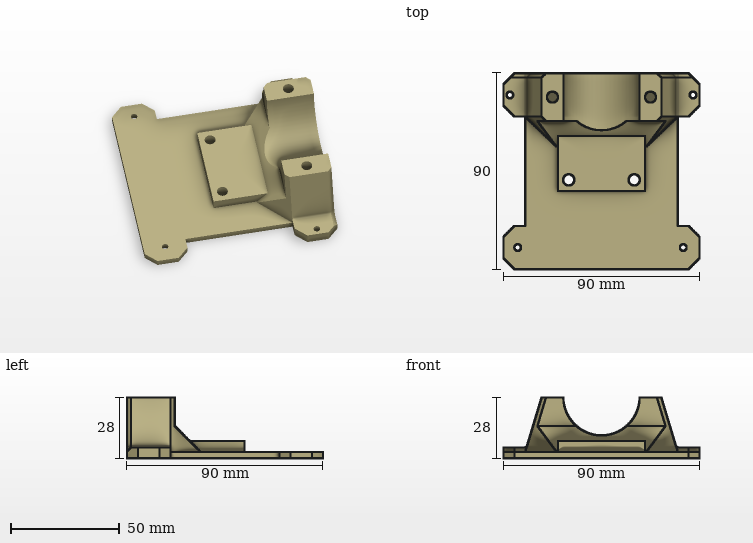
import cadquery as cq
import math

length = 90.0
plate_width = 70.0
plate_thickness = 3.0

ear_span = 90.0
ear_depth = 20.0
ear_corner = 5.0
back_ear_thickness = 5.0
ear_hole_diameter = 3.0
front_left_hole_x = -38.4
front_right_hole_x = 37.5
back_ear_hole_x = 42.0
ear_hole_inset = 10.0

saddle_height = 28.0
saddle_top_width = 55.0
saddle_depth = 22.0
cradle_radius = 17.5
edge_chamfer = 2.0
gusset_run = 11.8
gusset_overrun = 0.9
saddle_hole_x = 22.5
saddle_hole_depth = 15.0

foot_fillet = 1.0

pad_width = 40.0
pad_front = 36.0
pad_top = 8.0
pad_hole_x = 15.0
pad_hole_inset = 5.0
bolt_hole_diameter = 5.0

saddle_front = length - saddle_depth
saddle_side_front = saddle_front + edge_chamfer
side_lean = math.atan2((plate_width - saddle_top_width) / 2, saddle_height - plate_thickness)


def half_width(z):
    """Half the saddle width at height z, measured to its leaning sides."""
    return saddle_top_width / 2 + (saddle_height - z) * math.tan(side_lean)


def block(width, y_start, y_end, height):
    """Block standing on the bottom plane, centred on X."""
    return cq.Workplane("XY").box(width, y_end - y_start, height, (True, False, False)).translate((0, y_start, 0))


def holes(x_places, y, diameter, z_start, depth):
    """Upright holes at the given X places along one row."""
    return (
        cq.Workplane("XY", origin=(0, 0, z_start))
        .pushPoints([(x, y) for x in x_places])
        .circle(diameter / 2)
        .extrude(depth)
    )


def mirrored(x):
    return (-x, x)


def ear_strip(y_start, thickness):
    """Full-width strip whose clipped ends form a pair of ears."""
    strip = block(ear_span, y_start, y_start + ear_depth, thickness)
    return strip.edges("|Z").chamfer(ear_corner)


def gusset_outline(z):
    """Plan corners of the saddle front at height z, with its corner chamfers run forward past the gusset."""
    half = half_width(z)
    reach = edge_chamfer + gusset_run + gusset_overrun
    front_half = half - reach / math.cos(side_lean)
    return [
        (-half, saddle_side_front),
        (-front_half, saddle_side_front - reach),
        (front_half, saddle_side_front - reach),
        (half, saddle_side_front),
    ]


def make_saddle_front():
    """Front of the saddle: two corner chamfers that continue down the sides of a 45 degree gusset."""
    tapered = (
        cq.Workplane("XY", origin=(0, 0, plate_thickness))
        .polyline(gusset_outline(plate_thickness))
        .close()
        .workplane(offset=saddle_height - plate_thickness)
        .polyline(gusset_outline(saddle_height))
        .close()
        .loft(ruled=True)
    )
    side_profile = (
        cq.Workplane("YZ")
        .polyline([
            (saddle_side_front, plate_thickness),
            (saddle_front - gusset_run, plate_thickness),
            (saddle_front, plate_thickness + gusset_run),
            (saddle_front, saddle_height),
            (saddle_side_front, saddle_height),
        ])
        .close()
        .extrude(ear_span / 2, both=True)
    )
    return tapered.intersect(side_profile)


def make_saddle_back():
    """Back of the saddle with its ears: filleted feet, and one chamfer following the back outline."""
    foot_half = half_width(back_ear_thickness)
    tangent_length = foot_fillet * math.tan((math.pi / 2 - side_lean) / 2)
    body = (
        cq.Workplane("XZ", origin=(0, length, 0))
        .polyline([
            (-ear_span / 2, 0),
            (-ear_span / 2, back_ear_thickness),
            (-foot_half, back_ear_thickness),
            (-saddle_top_width / 2, saddle_height),
            (saddle_top_width / 2, saddle_height),
            (foot_half, back_ear_thickness),
            (ear_span / 2, back_ear_thickness),
            (ear_span / 2, 0),
        ])
        .close()
        .extrude(ear_depth)
    )
    feet = [(-foot_half, length - ear_depth / 2, back_ear_thickness),
            (foot_half, length - ear_depth / 2, back_ear_thickness)]
    for foot in feet:
        body = body.edges(cq.selectors.NearestToPointSelector(foot)).fillet(foot_fillet)

    ear_top_middle = (foot_half + tangent_length + ear_span / 2) / 2
    side_middle_z = (back_ear_thickness + saddle_height) / 2
    for side in (-1, 1):
        ear_top = cq.selectors.NearestToPointSelector((side * ear_top_middle, length, back_ear_thickness))
        lean = cq.selectors.NearestToPointSelector((side * half_width(side_middle_z), length, side_middle_z))
        body = body.edges(ear_top + lean).chamfer(edge_chamfer)
    return body.intersect(ear_strip(length - ear_depth, saddle_height))


plate = block(plate_width, 0, length, plate_thickness)
pad = block(pad_width, pad_front, saddle_front, pad_top)
cradle = (
    cq.Workplane("XZ", origin=(0, length, saddle_height))
    .circle(cradle_radius)
    .extrude(length)
)

result = (
    plate.union(ear_strip(0, plate_thickness))
    .union(make_saddle_back())
    .union(make_saddle_front())
    .union(pad)
    .cut(cradle)
    .cut(holes((front_left_hole_x, front_right_hole_x), ear_hole_inset, ear_hole_diameter, 0, plate_thickness))
    .cut(holes(
        mirrored(back_ear_hole_x), length - ear_hole_inset, ear_hole_diameter, 0, back_ear_thickness
    ))
    .cut(holes(mirrored(pad_hole_x), pad_front + pad_hole_inset, bolt_hole_diameter, 0, pad_top))
    .cut(holes(
        mirrored(saddle_hole_x),
        length - saddle_depth / 2,
        bolt_hole_diameter,
        saddle_height - saddle_hole_depth,
        saddle_hole_depth,
    ))
)